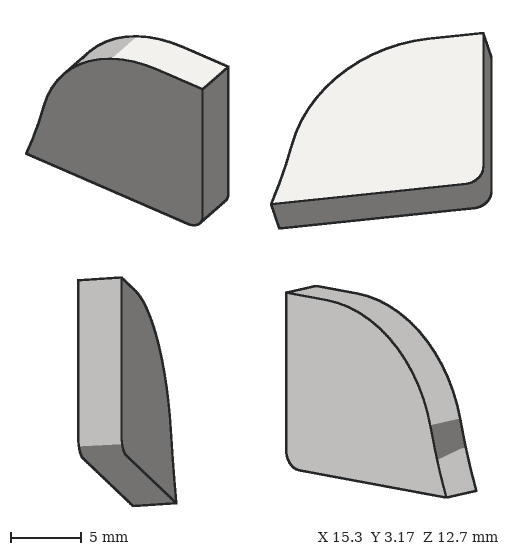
import cadquery as cq
import math

length = 15.31
thickness = 3.175
height = 12.7

crown_radius = 10.16
top_flat_length = 3.92
junction_height = 4.91
corner_radius = 1.27

crown_center_x = length - top_flat_length
crown_center_z = height - crown_radius
junction_angle = math.pi - math.asin((junction_height - crown_center_z) / crown_radius)
crown_middle_angle = (math.pi / 2 + junction_angle) / 2


def crown_point(angle):
    """Point on the crown arc, with the angle measured from +X toward +Z."""
    return (
        crown_center_x + crown_radius * math.cos(angle),
        crown_center_z + crown_radius * math.sin(angle),
    )


def make_plate():
    """Flat plate with a crown arc and a flare tangent to it, ending at the lower left tip."""
    profile = (
        cq.Workplane("XZ")
        .moveTo(length, 0)
        .lineTo(length, height)
        .lineTo(crown_center_x, height)
        .threePointArc(crown_point(crown_middle_angle), crown_point(junction_angle))
        .tangentArcPoint((0, 0), relative=False)
        .close()
    )
    return profile.extrude(-thickness)


def round_lower_right_corner(plate):
    return plate.faces(">X").edges("<Z").fillet(corner_radius)


result = round_lower_right_corner(make_plate())